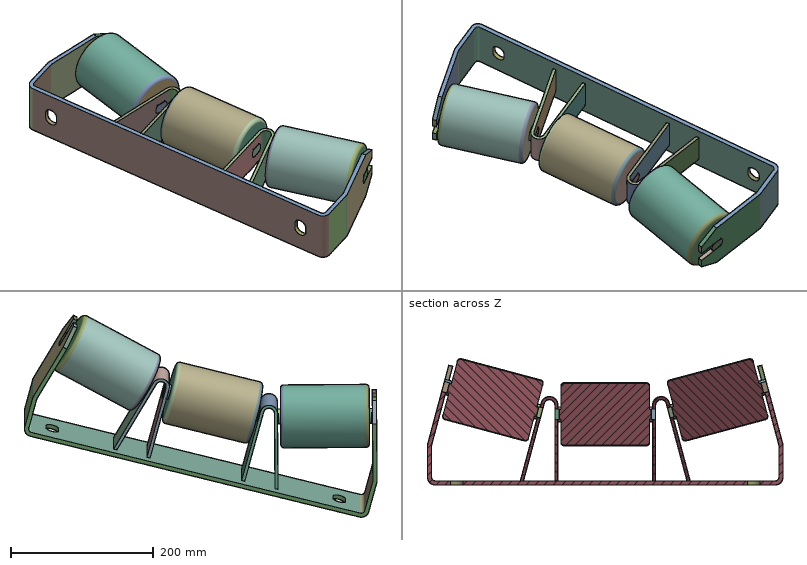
import cadquery as cq
import math


frame_length = 500.0
strip_width = 80.0
tilt = math.radians(15.0)

strip_thickness = 6.0
inner_bend_radius = 5.0
bend_height = 57.0
arm_length = 115.5
tip_chamfer_width = 17.0
tip_chamfer_angle = math.radians(30.0)

mount_slot_spacing = 417.0
mount_slot_width = 18.0
mount_slot_height = 27.0

divider_width = 50.0
divider_thickness = 4.5
divider_arch_radius = 12.0
divider_arch_y = 112.5

roller_diameter = 89.0
roller_length = 125.0
roller_edge_radius = 5.0
center_roller_y = 99.5
outer_roller_distance = 84.5
roller_gap = 4.0

shaft_diameter = 21.0
shaft_flat_width = 15.0
shoulder_gap = 1.5
slot_width = 16.0

bend_radius = inner_bend_radius + strip_thickness
divider_face_x = roller_length / 2 + roller_gap
divider_arch_x = divider_face_x + divider_arch_radius


def tilted(along_axis, along_arm):
    """Point given along the left roller axis and along the left arm."""
    return (
        along_axis * math.cos(tilt) + along_arm * math.sin(tilt),
        along_arm * math.cos(tilt) - along_axis * math.sin(tilt),
    )


def axis_distance(x, y):
    """Distance of a point from the origin along the left roller axis."""
    return x * math.cos(tilt) - y * math.sin(tilt)


turn_x = -frame_length / 2
arm_inner_face = axis_distance(turn_x, bend_height) + strip_thickness
divider_tilted_face = axis_distance(-divider_arch_x, divider_arch_y) - divider_arch_radius
outer_half_span = (divider_tilted_face - arm_inner_face) / 2

roller_shift = tilted(strip_thickness + outer_half_span, outer_roller_distance)
outer_roller_x = turn_x + roller_shift[0]
outer_roller_y = bend_height + roller_shift[1]
outer_roller_place = cq.Location(
    cq.Vector(outer_roller_x, outer_roller_y, 0), cq.Vector(0, 0, 1), -math.degrees(tilt)
)
center_roller_place = cq.Location(cq.Vector(0, center_roller_y, 0))


def mirrored(body):
    return body.mirror("YZ")


def shaft_section(width, start_x, length):
    """Round bar along X cut down to the given width across two flats facing +Z and -Z."""
    bar = cq.Workplane("YZ", origin=(start_x, 0, 0)).circle(shaft_diameter / 2).extrude(length)
    band = cq.Workplane("XY").box(2 * frame_length, shaft_diameter, width)
    return bar.intersect(band)


def make_roller(half_span, left_wall, right_wall):
    """Roller whose shaft ends flush with the far faces of the walls on both sides."""
    barrel = (
        cq.Workplane("YZ", origin=(-roller_length / 2, 0, 0))
        .circle(roller_diameter / 2)
        .extrude(roller_length)
        .edges()
        .fillet(roller_edge_radius)
    )
    shoulder = half_span - shoulder_gap
    journal = shaft_section(shaft_diameter, -shoulder, 2 * shoulder)
    flats = shaft_section(
        shaft_flat_width, -half_span - left_wall, 2 * half_span + left_wall + right_wall
    )
    return barrel.union(journal).union(flats)


center_roller = make_roller(divider_face_x, divider_thickness, divider_thickness)
center_roller = center_roller.val().moved(center_roller_place)
left_roller = make_roller(outer_half_span, strip_thickness, divider_thickness)
left_roller = left_roller.val().moved(outer_roller_place)
rollers = [left_roller, center_roller, mirrored(left_roller)]


def bracket_half_outline():
    """Left half of the strip with sharp corners, out to the arm tip and back."""
    tip = tilted(0, arm_length)
    inner_tip = tilted(strip_thickness, arm_length)
    inner_x = turn_x + strip_thickness
    return [
        (0, 0),
        (turn_x, 0),
        (turn_x, bend_height),
        (turn_x + tip[0], bend_height + tip[1]),
        (turn_x + inner_tip[0], bend_height + inner_tip[1]),
        (inner_x, bend_height - strip_thickness * math.tan(tilt / 2)),
        (inner_x, strip_thickness),
        (0, strip_thickness),
    ]


def arm_tip_cutters():
    """Corner chamfers and open shaft slot of the left arm, in the frame of the left roller."""
    wall_x = -outer_half_span - strip_thickness
    tip_y = arm_length - outer_roller_distance
    chamfer_length = tip_chamfer_width / math.tan(tip_chamfer_angle)
    half_width = strip_width / 2
    corner = (
        cq.Workplane("YZ", origin=(wall_x, 0, 0))
        .polyline([
            (tip_y, half_width),
            (tip_y - chamfer_length, half_width),
            (tip_y, half_width - tip_chamfer_width),
        ])
        .close()
        .extrude(strip_thickness)
    )
    seat = shaft_section(slot_width, wall_x, strip_thickness)
    mouth = cq.Workplane("XY", origin=(wall_x, 0, 0)).box(
        strip_thickness, tip_y, slot_width, centered=(False, False, True)
    )
    return [corner, corner.mirror("XY"), seat, mouth]


def make_bracket():
    points = bracket_half_outline()
    half = (
        cq.Workplane("XY", origin=(0, 0, -strip_width / 2))
        .polyline(points)
        .close()
        .extrude(strip_width)
    )
    outer_corner, outer_turn = points[1:3]
    inner_turn, inner_corner = points[5:7]
    for corner, radius in (
        (outer_corner, bend_radius),
        (outer_turn, bend_radius),
        (inner_turn, inner_bend_radius),
        (inner_corner, inner_bend_radius),
    ):
        edge = cq.selectors.NearestToPointSelector((*corner, 0))
        half = half.edges("|Z").edges(edge).fillet(radius)

    for cutter in arm_tip_cutters():
        half = half.cut(cq.Workplane(cutter.val().moved(outer_roller_place)))

    mount_slot = (
        cq.Workplane("XZ", origin=(-mount_slot_spacing / 2, 0, 0))
        .slot2D(mount_slot_height, mount_slot_width, 90)
        .extrude(-strip_thickness)
    )
    half = half.cut(mount_slot)
    return half.union(mirrored(half))


bracket = make_bracket()


def make_left_divider():
    """Arched strip with a tilted leg for the outer roller and an upright leg for the centre one."""
    foot_y = strip_thickness
    leg_height = divider_arch_y - foot_y
    inner_radius = divider_arch_radius - divider_thickness

    def arch_point(radius, angle):
        return (
            radius * math.cos(angle) - divider_arch_x,
            radius * math.sin(angle) + divider_arch_y,
        )

    def tilted_foot(radius):
        return (-divider_arch_x - radius / math.cos(tilt) - leg_height * math.tan(tilt), foot_y)

    leg_angle = math.pi - tilt
    crown_angle = leg_angle / 2
    strip = (
        cq.Workplane("XY", origin=(0, 0, -divider_width / 2))
        .moveTo(*tilted_foot(divider_arch_radius))
        .lineTo(*arch_point(divider_arch_radius, leg_angle))
        .threePointArc(
            arch_point(divider_arch_radius, crown_angle), arch_point(divider_arch_radius, 0)
        )
        .lineTo(-divider_face_x, foot_y)
        .lineTo(-divider_face_x - divider_thickness, foot_y)
        .lineTo(*arch_point(inner_radius, 0))
        .threePointArc(arch_point(inner_radius, crown_angle), arch_point(inner_radius, leg_angle))
        .lineTo(*tilted_foot(inner_radius))
        .close()
        .extrude(divider_width)
    )
    tilted_hole = shaft_section(slot_width, outer_half_span, divider_thickness)
    upright_hole = shaft_section(
        slot_width, -divider_face_x - divider_thickness, divider_thickness
    )
    strip = strip.cut(cq.Workplane(tilted_hole.val().moved(outer_roller_place)))
    return strip.cut(cq.Workplane(upright_hole.val().moved(center_roller_place)))


left_divider = make_left_divider()
dividers = [left_divider.val(), mirrored(left_divider).val()]

result = cq.Compound.makeCompound([bracket.val(), *dividers, *rollers])